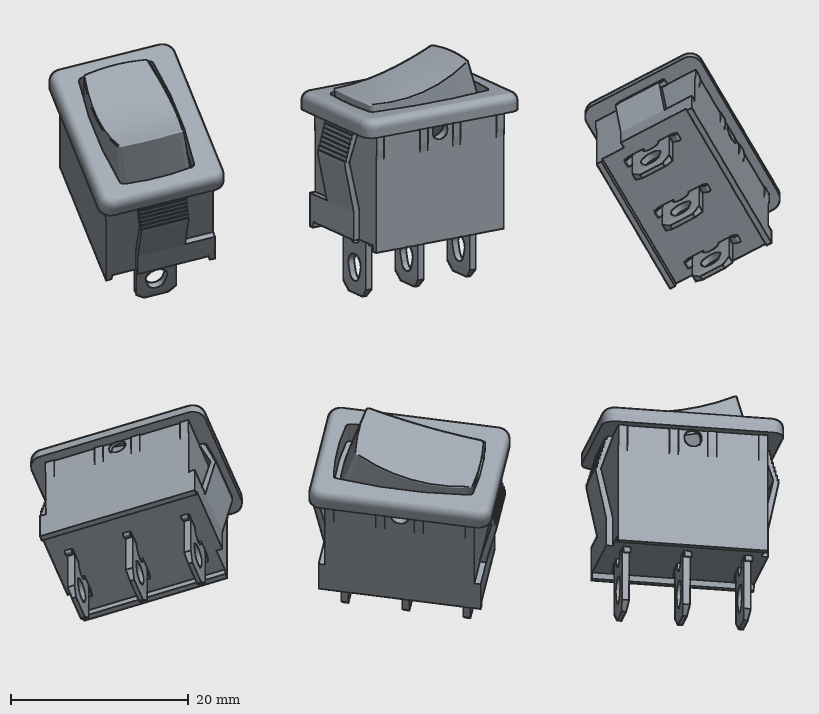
import cadquery as cq
import math


TOTAL_HEIGHT = 26.4

FLANGE_LENGTH = 20.78
FLANGE_WIDTH = 14.8
FLANGE_HEIGHT = 2.0
FLANGE_CORNER_RADIUS = 1.5
FLANGE_TOP_RADIUS = 1.0

POCKET_HALF_LENGTH = 7.92
POCKET_HALF_WIDTH = 4.33
POCKET_END_BOW = 0.35
POCKET_SIDE_BOW = 0.58
POCKET_CORNER_RADIUS = 0.53
POCKET_FLOOR_Z = -0.69

BODY_LENGTH = 17.11
BODY_WIDTH = 12.65
BODY_BOTTOM_Z = -13.25
FOOT_HEIGHT = 0.69
FOOT_TOP_THICKNESS = 0.77
FOOT_TIP_THICKNESS = 0.63
FOOT_TIP_Z = BODY_BOTTOM_Z - FOOT_HEIGHT

RIB_WIDTH = 1.03
RIB_THICKNESS = 0.1
RIB_STRAIGHT_DEPTH = 1.95
RIB_DEPTH = 3.0
INNER_RIB_X = 2.2
OUTER_RIB_X = (BODY_LENGTH - RIB_WIDTH) / 2

SPRING_HALF_WIDTH = 2.8
SPRING_SPAN = 20.95
SPRING_REACH = SPRING_SPAN / 2
SPRING_TOP_X = 9.09
SPRING_GAP_X = 9.88
SPRING_GAP_BEND_Z = -3.95
SPRING_GAP_TOP_Z = -0.13
TOOTH_COUNT = 8
TOOTH_STEP = 0.148
FIRST_TOOTH_Z = -0.35
LAST_TOOTH_END_Z = -4.3
TOOTH_PITCH = (FIRST_TOOTH_Z - LAST_TOOTH_END_Z) / TOOTH_COUNT
PLATE_THICKNESS = 0.7
PLATE_TOP_Z = -9.98

ROCKER_TILT = 12.6
PIVOT_Z = -0.95
PIVOT_DIAMETER = 2.0
PIN_END_Y = 5.92
PIN_FLAT_HEIGHT = 0.63
PIN_BEVEL_ANGLE = 60.0
ROCKER_BASE = -1.58
ROCKER_MIDDLE_HEIGHT = 4.35
ROCKER_TIP_HEIGHT = 5.41
ROCKER_TIP_REACH = 7.05
ROCKER_HALF_LENGTH = 7.2
ROCKER_HALF_WIDTH = 4.23
ROCKER_END_BOW = 0.32
ROCKER_SIDE_BOW = 0.55
ROCKER_CORNER_RADIUS = 0.9
ROCKER_DRAFT = 3.5
ROCKER_CROWN = 0.1
ROCKER_EDGE_RADIUS = 0.13

TERMINAL_PITCH = 6.97
TERMINAL_THICKNESS = 0.82
TERMINAL_WIDTH = 4.73
TERMINAL_TIP_LENGTH = 1.05
TERMINAL_TIP_THICKNESS = 0.5
TERMINAL_TIP_WIDTH = 2.88
UPPER_HOLE_Z = -13.55
UPPER_HOLE_DIAMETER = 2.0
EYE_TOP_Z = -17.11
EYE_TOP_RADIUS = 1.27
EYE_BOTTOM_Z = -18.05
EYE_BOTTOM_RADIUS = 1.0
WING_END_Y = 3.17
WING_END_Z = -13.87
WING_THICKNESS = 0.48
WING_ANGLE = 42.0
WING_LENGTH = 1.58

EMBED = 0.26


def bowed_rectangle(half_length, half_width, end_bow, side_bow, corner_radius):
    """Sketch of a rectangle whose four sides are arcs bulging outward, with rounded corners."""
    return (
        cq.Sketch()
        .arc((-half_length, -half_width), (0, -half_width - side_bow), (half_length, -half_width))
        .arc((half_length, -half_width), (half_length + end_bow, 0), (half_length, half_width))
        .arc((half_length, half_width), (0, half_width + side_bow), (-half_length, half_width))
        .arc((-half_length, half_width), (-half_length - end_bow, 0), (-half_length, -half_width))
        .assemble()
        .vertices()
        .fillet(corner_radius)
    )


def box_between(x_range, y_range, z_range):
    """Box spanning the given start and end along each axis."""
    sizes = [end - start for start, end in (x_range, y_range, z_range)]
    corner = (x_range[0], y_range[0], z_range[0])
    return cq.Workplane("XY").box(*sizes, centered=False).translate(corner)


def flange():
    """Rounded plate that rests on the panel."""
    return (
        cq.Workplane("XY")
        .box(FLANGE_LENGTH, FLANGE_WIDTH, FLANGE_HEIGHT, centered=(True, True, False))
        .edges("|Z")
        .fillet(FLANGE_CORNER_RADIUS)
        .faces(">Z")
        .edges()
        .fillet(FLANGE_TOP_RADIUS)
    )


def body_with_plates():
    """Body block and the two side plates, with a channel between the feet on the underside."""
    half_length = BODY_LENGTH / 2
    half_width = BODY_WIDTH / 2
    plate_reach = half_length + PLATE_THICKNESS
    block = box_between((-half_length, half_length), (-half_width, half_width), (FOOT_TIP_Z, EMBED))
    plates = box_between(
        (-plate_reach, plate_reach), (-SPRING_HALF_WIDTH, half_width), (FOOT_TIP_Z, PLATE_TOP_Z)
    )
    channel_top = half_width - FOOT_TOP_THICKNESS
    channel_mouth = half_width - FOOT_TIP_THICKNESS
    channel = (
        cq.Workplane("YZ")
        .polyline([
            (-channel_mouth, FOOT_TIP_Z),
            (-channel_top, BODY_BOTTOM_Z),
            (channel_top, BODY_BOTTOM_Z),
            (channel_mouth, FOOT_TIP_Z),
        ])
        .close()
        .extrude(plate_reach, both=True)
    )
    return block.union(plates).cut(channel)


def guide_ribs():
    """Ribs with a sloped lower end, four on each long side."""
    face_y = BODY_WIDTH / 2
    rib = (
        cq.Workplane("YZ")
        .polyline([
            (face_y - EMBED, EMBED),
            (face_y + RIB_THICKNESS, EMBED),
            (face_y + RIB_THICKNESS, -RIB_STRAIGHT_DEPTH),
            (face_y, -RIB_DEPTH),
            (face_y - EMBED, -RIB_DEPTH),
        ])
        .close()
        .extrude(RIB_WIDTH / 2, both=True)
    )
    ribs = cq.Workplane("XY")
    for x in (-OUTER_RIB_X, -INNER_RIB_X, INNER_RIB_X, OUTER_RIB_X):
        placed = rib.translate((x, 0, 0))
        ribs = ribs.union(placed).union(placed.mirror("XZ"))
    return ribs


def spring():
    """Bent tongue on the +X side with a staircase of grip teeth on its upper outer face."""
    body_x = BODY_LENGTH / 2
    plate_x = body_x + PLATE_THICKNESS
    first_tooth_x = SPRING_REACH - (TOOTH_COUNT - 1) * TOOTH_STEP
    outline = [
        (body_x - EMBED, EMBED),
        (SPRING_TOP_X, EMBED),
        (SPRING_TOP_X, 0),
        (first_tooth_x - TOOTH_STEP, FIRST_TOOTH_Z),
    ]
    for tooth in range(TOOTH_COUNT):
        x = first_tooth_x + tooth * TOOTH_STEP
        z = FIRST_TOOTH_Z - tooth * TOOTH_PITCH
        outline += [(x, z), (x, z - TOOTH_PITCH)]
    outline += [
        (plate_x, PLATE_TOP_Z),
        (body_x - EMBED, PLATE_TOP_Z),
        (body_x, PLATE_TOP_Z + EMBED),
        (SPRING_GAP_X, SPRING_GAP_BEND_Z),
        (body_x, SPRING_GAP_TOP_Z),
        (body_x - EMBED, SPRING_GAP_TOP_Z),
    ]
    return cq.Workplane("XZ").polyline(outline).close().extrude(SPRING_HALF_WIDTH, both=True)


def pocket():
    """Cutter for the flat-bottomed recess around the rocker."""
    outline = bowed_rectangle(
        POCKET_HALF_LENGTH, POCKET_HALF_WIDTH, POCKET_END_BOW, POCKET_SIDE_BOW, POCKET_CORNER_RADIUS
    )
    depth = FLANGE_HEIGHT - POCKET_FLOOR_Z
    return cq.Workplane("XY", origin=(0, 0, POCKET_FLOOR_Z)).placeSketch(outline).extrude(depth)


def pivot_holes():
    """Bearing holes through the two long walls, reaching in as far as the pocket."""
    inner_y = POCKET_HALF_WIDTH + POCKET_SIDE_BOW - EMBED
    hole = (
        cq.Workplane("XZ", origin=(0, -inner_y, PIVOT_Z))
        .circle(PIVOT_DIAMETER / 2)
        .extrude(BODY_WIDTH / 2 - inner_y)
    )
    return hole.union(hole.mirror("XZ"))


def pivot_pins():
    """Pin along Y whose two ends are bevelled on their lower side."""
    pin = cq.Workplane("XZ").circle(PIVOT_DIAMETER / 2).extrude(PIN_END_Y, both=True)
    bevel_height = PIN_FLAT_HEIGHT + PIVOT_DIAMETER
    bevel_depth = bevel_height / math.tan(math.radians(PIN_BEVEL_ANGLE))
    bevel = (
        cq.Workplane("YZ")
        .polyline([
            (-PIN_END_Y, PIN_FLAT_HEIGHT),
            (-PIN_END_Y, -PIVOT_DIAMETER),
            (-PIN_END_Y + bevel_depth, -PIVOT_DIAMETER),
        ])
        .close()
        .extrude(PIVOT_DIAMETER, both=True)
    )
    return pin.cut(bevel).cut(bevel.mirror("XZ"))


def rocker_section(height):
    """Horizontal section of the rocker, which shrinks with height by the draft angle."""
    inset = (height - ROCKER_BASE) * math.tan(math.radians(ROCKER_DRAFT))
    return bowed_rectangle(
        ROCKER_HALF_LENGTH - inset,
        ROCKER_HALF_WIDTH - inset,
        ROCKER_END_BOW,
        ROCKER_SIDE_BOW,
        ROCKER_CORNER_RADIUS - inset,
    ).moved(cq.Location(cq.Vector(0, 0, height)))


def rocker_dish():
    """Cutter for the top of the rocker: hollow along X and slightly crowned along Y."""
    sag = ROCKER_TIP_HEIGHT - ROCKER_MIDDLE_HEIGHT
    dish_radius = (ROCKER_TIP_REACH**2 + sag**2) / (2 * sag)
    axis_height = ROCKER_MIDDLE_HEIGHT + dish_radius
    edge_y = ROCKER_HALF_WIDTH + ROCKER_SIDE_BOW
    edge_height = ROCKER_MIDDLE_HEIGHT - ROCKER_CROWN
    return (
        cq.Workplane("YZ")
        .moveTo(-edge_y, axis_height)
        .lineTo(-edge_y, edge_height)
        .threePointArc((0, ROCKER_MIDDLE_HEIGHT), (edge_y, edge_height))
        .lineTo(edge_y, axis_height)
        .close()
        .revolve(360, (-edge_y, axis_height), (edge_y, axis_height))
    )


def rocker():
    """Drafted button with a dished top and two pivot pins, tilted about the pivot axis."""
    above_tip = ROCKER_TIP_HEIGHT + EMBED
    sections = (rocker_section(ROCKER_BASE), rocker_section(above_tip))
    button = cq.Workplane("XY").placeSketch(*sections).loft(ruled=True).cut(rocker_dish())
    button = button.faces("%TORUS").edges().fillet(ROCKER_EDGE_RADIUS)
    return (
        button.union(pivot_pins())
        .rotate((0, 0, 0), (0, 1, 0), -ROCKER_TILT)
        .translate((0, 0, PIVOT_Z))
    )


def eye():
    """Teardrop cutter through a terminal: two circles joined by their common tangents."""
    spacing = EYE_TOP_Z - EYE_BOTTOM_Z
    slope = (EYE_TOP_RADIUS - EYE_BOTTOM_RADIUS) / spacing
    level = math.sqrt(1 - slope**2)

    def tangent_point(center_z, radius, side):
        return (side * radius * level, center_z - radius * slope)

    top_z = EYE_TOP_Z + EYE_TOP_RADIUS
    bottom_z = EYE_BOTTOM_Z - EYE_BOTTOM_RADIUS
    return (
        cq.Workplane("YZ")
        .moveTo(*tangent_point(EYE_TOP_Z, EYE_TOP_RADIUS, -1))
        .threePointArc((0, top_z), tangent_point(EYE_TOP_Z, EYE_TOP_RADIUS, 1))
        .lineTo(*tangent_point(EYE_BOTTOM_Z, EYE_BOTTOM_RADIUS, 1))
        .threePointArc((0, bottom_z), tangent_point(EYE_BOTTOM_Z, EYE_BOTTOM_RADIUS, -1))
        .close()
        .extrude(TERMINAL_THICKNESS, both=True)
    )


def wing():
    """Round-ended tab spreading downward from a terminal on the +Y side."""
    return (
        cq.Workplane("YZ")
        .slot2D(WING_LENGTH, WING_THICKNESS)
        .extrude(TERMINAL_THICKNESS / 2, both=True)
        .translate((0, (WING_THICKNESS - WING_LENGTH) / 2, 0))
        .rotate((0, 0, 0), (1, 0, 0), -WING_ANGLE)
        .translate((0, WING_END_Y, WING_END_Z))
    )


def terminal(tip_z):
    """Blade with a tapered tip, a round hole at the body, a solder eye and two wings."""
    shoulder_z = tip_z + TERMINAL_TIP_LENGTH
    half_width = TERMINAL_WIDTH / 2
    blade = box_between(
        (-TERMINAL_THICKNESS / 2, TERMINAL_THICKNESS / 2),
        (-half_width, half_width),
        (shoulder_z, BODY_BOTTOM_Z + EMBED),
    )
    tip = (
        cq.Workplane("XY", origin=(0, 0, shoulder_z))
        .rect(TERMINAL_THICKNESS, TERMINAL_WIDTH)
        .workplane(offset=-TERMINAL_TIP_LENGTH)
        .rect(TERMINAL_TIP_THICKNESS, TERMINAL_TIP_WIDTH)
        .loft(ruled=True)
    )
    upper_hole = (
        cq.Workplane("YZ", origin=(0, 0, UPPER_HOLE_Z))
        .circle(UPPER_HOLE_DIAMETER / 2)
        .extrude(TERMINAL_THICKNESS, both=True)
    )
    plate = blade.union(tip).cut(upper_hole).cut(eye())
    return plate.union(wing()).union(wing().mirror("XZ"))


right_spring = spring()
tilted_rocker = rocker()
result = (
    flange()
    .union(body_with_plates())
    .union(guide_ribs())
    .union(right_spring)
    .union(right_spring.mirror("YZ"))
    .cut(pocket())
    .cut(pivot_holes())
    .union(tilted_rocker)
)

terminal_tip_z = tilted_rocker.val().BoundingBox().zmax - TOTAL_HEIGHT
for position in (-TERMINAL_PITCH, 0, TERMINAL_PITCH):
    result = result.union(terminal(terminal_tip_z).translate((position, 0, 0)))